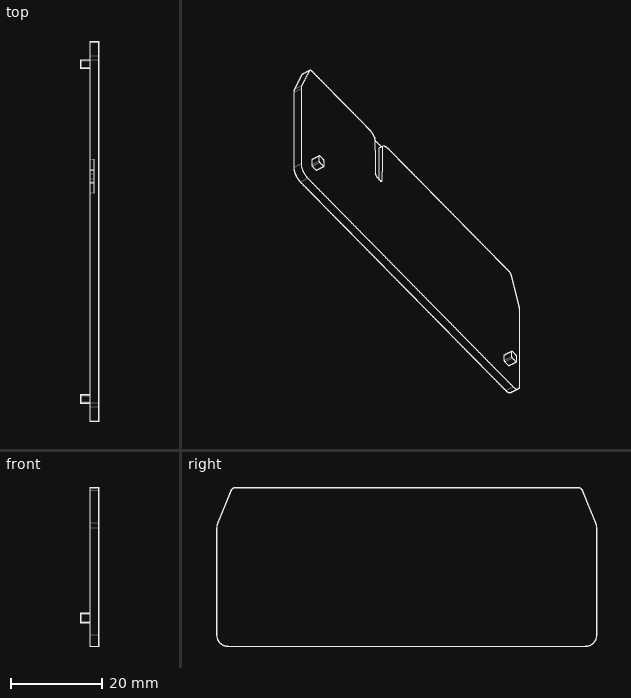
import cadquery as cq
import math

plate_thickness = 2.0
peg_length = 2.0
plate_length = 83.35
plate_height = 34.85

bevel_length = 3.4
bevel_height = 8.3
bevel_top_radius = 1.0
bevel_side_radius = 3.0
bottom_corner_radius = 2.5

peg_width = 1.9
peg_height = 2.1
peg_edge_radius = 0.25
peg_end_inset = 4.95
peg_center_height = 6.25

groove_depth = 0.9
groove_from_end = 29.6
groove_drop = 12.5
groove_top_width = 2.85
groove_bottom_width = 2.5
groove_bottom_radius = 0.7
groove_mouth_width = 7.35
groove_mouth_radius = 3.0

half_length = plate_length / 2
groove_y = half_length - groove_from_end
groove_floor_z = plate_height - groove_drop


def yz_workplane():
    """Sketch plane on the -X face of the plate: local axes are Y and Z."""
    return cq.Workplane("YZ")


def round_x_edges(body, corner, radius):
    """Round the X-direction edge of body that passes through corner (y, z)."""
    y, z = corner
    middle = (plate_thickness / 2, y, z)
    return body.edges(cq.selectors.NearestToPointSelector(middle)).fillet(radius)


def make_plate():
    """Flat plate with bevelled upper corners, all outline corners rounded."""
    shoulder_z = plate_height - bevel_height
    top_end_y = half_length - bevel_length
    outline = [
        (-half_length, 0),
        (half_length, 0),
        (half_length, shoulder_z),
        (top_end_y, plate_height),
        (-top_end_y, plate_height),
        (-half_length, shoulder_z),
    ]
    plate = yz_workplane().polyline(outline).close().extrude(plate_thickness)
    for side in (-1, 1):
        plate = round_x_edges(plate, (side * half_length, 0), bottom_corner_radius)
        plate = round_x_edges(plate, (side * half_length, shoulder_z), bevel_side_radius)
        plate = round_x_edges(plate, (side * top_end_y, plate_height), bevel_top_radius)
    return plate


def make_peg(y):
    """Rectangular peg with its four lengthwise edges slightly rounded."""
    return (
        yz_workplane()
        .center(y, peg_center_height)
        .rect(peg_width, peg_height)
        .extrude(-peg_length)
        .edges("|X")
        .fillet(peg_edge_radius)
    )


def make_groove():
    """Tapered slot with rounded lower corners and a mouth flaring out to the top edge.

    Each flare arc is tangent to the top edge and meets the slot wall at an angle.
    """
    half_top = groove_top_width / 2
    half_bottom = groove_bottom_width / 2
    half_mouth = groove_mouth_width / 2
    flare_angle = math.asin((half_mouth - half_top) / groove_mouth_radius)

    def flare_point(angle):
        y = half_mouth - groove_mouth_radius * math.sin(angle)
        z = plate_height - groove_mouth_radius * (1 - math.cos(angle))
        return y, z

    arc_y, arc_z = flare_point(flare_angle / 2)
    throat_z = flare_point(flare_angle)[1]
    groove = (
        yz_workplane()
        .center(groove_y, 0)
        .moveTo(-half_bottom, groove_floor_z)
        .lineTo(half_bottom, groove_floor_z)
        .lineTo(half_top, throat_z)
        .threePointArc((arc_y, arc_z), (half_mouth, plate_height))
        .lineTo(-half_mouth, plate_height)
        .threePointArc((-arc_y, arc_z), (-half_top, throat_z))
        .close()
        .extrude(groove_depth)
    )
    for side in (-1, 1):
        corner = (groove_depth / 2, groove_y + side * half_bottom, groove_floor_z)
        lower_edge = cq.selectors.NearestToPointSelector(corner)
        groove = groove.edges(lower_edge).fillet(groove_bottom_radius)
    return groove


result = make_plate().cut(make_groove())
for side in (-1, 1):
    result = result.union(make_peg(side * (half_length - peg_end_inset)))